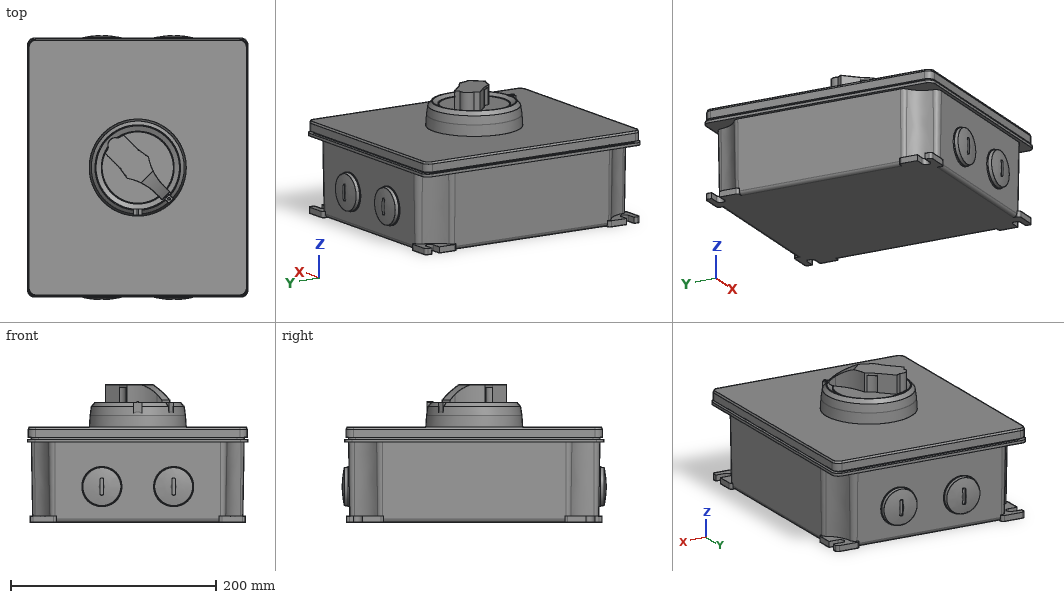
import cadquery as cq

foot_height = 6.2
body_top = 78.2
flange_top = 81.0
lid_bottom = 82.8
lid_top = 92.8
knob_band_z = 104.1
knob_shoulder_z = 113.0
knob_rim_z = 117.0
handle_top = 134.2

body_width = 204.7
body_depth = 242.2
wall_draft = -1.0
hollow_start_x = 85.5
hollow_start_y = 92.5
hollow_middle = (90.3, 103.5)
hollow_edge_radius = 5.1
bottom_edge_radius = 3.5

flange_width = 214.7
flange_depth = 252.5
neck_inset = 3.5
lid_width = 213.5
lid_depth = 250.0
corner_radius = 7.2
lid_edge_rise = 2.0
lid_edge_inset = 1.0

foot_outer_x = 105.0
foot_outer_y = 124.5
foot_inner_x = 79.2
foot_inner_y = 88.2
foot_corner_radius = 2.8
foot_slot_width = 8.7
foot_slot_y = 113.2
foot_slot_end_x = 95.0

overall_depth = 257.2
plug_x = 35.0
plug_z = 35.0
plug_radius = 19.5
plug_root_y = 118.3
plug_collar_y = 123.0
plug_neck_radius = 19.0
plug_dome_radius = 18.5
plug_dome_y = 126.5
plug_land_radius = 2.5
plug_slot_length = 17.0
plug_slot_width = 3.5
plug_slot_depth = 2.0

knob_base_radius = 47.3
knob_band_radius = 46.5
knob_shoulder_radius = 45.3
knob_rim_radius = 41.7
dish_top_radius = 40.6
dish_floor_radius = 35.5
rotor_radius = 34.7
rotor_groove_depth = 0.8
dish_depth = 2.5
dish_floor_z = knob_rim_z - dish_depth

marker_inner_radius = 40.0
marker_outer_radius = 46.0
marker_top = 117.0
front_marker_width = 8.2
front_ridge_width = 1.5
front_ridge_top = 117.8
pointer_marker_width = 6.2
pointer_hole_radius = 1.3
pointer_hole_depth = 2.5

pointing_angle = -45.0
handle_tail = -32.1
handle_tail_half_width = 12.5
handle_lobe_start = -33.7
handle_lobe_half_width = 7.0
handle_lobe_end = -38.0
grip_start = -12.3
grip_end = -1.8
grip_middle = (-6.7, 11.8)
grip_lip_z = 131.7
handle_waist_half_width = 14.7
handle_slope_start = 12.9
handle_neck_half_width = 8.2
handle_nose_start = 32.0
handle_tip = 38.8
handle_tip_half_width = 5.5
handle_tip_z = 119.0
handle_slope_middle = (26.7, 128.0)


def mirror_to_corners(quarter):
    """Repeat a one-corner solid in all four corners of the box."""
    half = quarter.union(quarter.mirror("YZ"))
    return half.union(half.mirror("XZ"))


def plate(width, depth, bottom, top):
    """Rounded rectangular plate between two heights."""
    return (
        cq.Workplane("XY", origin=(0, 0, bottom))
        .rect(width, depth)
        .extrude(top - bottom)
        .edges("|Z")
        .fillet(corner_radius)
    )


def make_body():
    """Drafted box with a shallow concave hollow down each corner."""
    half_x = body_width / 2
    half_y = body_depth / 2
    mid_x, mid_y = hollow_middle
    outline = (
        cq.Sketch()
        .segment((-hollow_start_x, -half_y), (hollow_start_x, -half_y))
        .arc((hollow_start_x, -half_y), (mid_x, -mid_y), (half_x, -hollow_start_y))
        .segment((half_x, -hollow_start_y), (half_x, hollow_start_y))
        .arc((half_x, hollow_start_y), (mid_x, mid_y), (hollow_start_x, half_y))
        .segment((hollow_start_x, half_y), (-hollow_start_x, half_y))
        .arc((-hollow_start_x, half_y), (-mid_x, mid_y), (-half_x, hollow_start_y))
        .segment((-half_x, hollow_start_y), (-half_x, -hollow_start_y))
        .arc((-half_x, -hollow_start_y), (-mid_x, -mid_y), (-hollow_start_x, -half_y))
        .assemble()
        .vertices()
        .fillet(hollow_edge_radius)
    )
    body = cq.Workplane("XY").placeSketch(outline).extrude(body_top, taper=wall_draft)
    return body.faces("<Z").edges().fillet(bottom_edge_radius)


def make_feet():
    """Corner feet, each with a screw slot open to the side."""
    size_x = foot_outer_x - foot_inner_x
    size_y = foot_outer_y - foot_inner_y
    foot = (
        cq.Workplane("XY", origin=(foot_inner_x, foot_inner_y, 0))
        .box(size_x, size_y, foot_height, centered=False)
        .edges("|Z")
        .edges(">X or >Y")
        .fillet(foot_corner_radius)
    )
    slot_length = 2 * (foot_outer_x - foot_slot_end_x)
    slot = (
        cq.Workplane("XY")
        .center(foot_outer_x, foot_slot_y)
        .slot2D(slot_length + foot_slot_width, foot_slot_width)
        .extrude(foot_height)
    )
    return mirror_to_corners(foot.cut(slot))


def make_cover():
    """Flange, seal neck and lid stacked on the body."""
    flange = plate(flange_width, flange_depth, body_top, flange_top)
    neck = plate(flange_width - 2 * neck_inset, flange_depth - 2 * neck_inset, flange_top, lid_bottom)
    lid = plate(lid_width, lid_depth, lid_bottom, lid_top)
    lid = lid.faces(">Z").edges().chamfer(lid_edge_rise, lid_edge_inset)
    return flange.union(neck).union(lid)


def make_plugs():
    """Domed blanking plugs with a screwdriver slot, two per end wall."""
    dome_y = overall_depth / 2
    dome_middle_radius = plug_dome_radius / 2
    dome_middle_y = dome_y - (dome_y - plug_dome_y) / 4
    plug = (
        cq.Workplane("XY")
        .moveTo(0, plug_root_y)
        .lineTo(plug_radius, plug_root_y)
        .lineTo(plug_radius, plug_collar_y)
        .lineTo(plug_neck_radius, plug_collar_y)
        .lineTo(plug_dome_radius, plug_dome_y)
        .threePointArc((dome_middle_radius, dome_middle_y), (plug_land_radius, dome_y))
        .lineTo(0, dome_y)
        .close()
        .revolve(360, (0, 0, 0), (0, 1, 0))
    )
    slot = (
        cq.Workplane("XZ", origin=(0, dome_y, 0))
        .slot2D(plug_slot_length, plug_slot_width, 90)
        .extrude(plug_slot_depth)
    )
    return mirror_to_corners(plug.cut(slot).translate((plug_x, 0, plug_z)))


def make_collar():
    """Turned collar around the handle, dished on top."""
    groove_z = dish_floor_z - rotor_groove_depth
    return (
        cq.Workplane("XZ")
        .moveTo(0, lid_top)
        .lineTo(knob_base_radius, lid_top)
        .lineTo(knob_band_radius, knob_band_z)
        .lineTo(knob_shoulder_radius, knob_shoulder_z)
        .lineTo(knob_rim_radius, knob_rim_z)
        .lineTo(dish_top_radius, knob_rim_z)
        .lineTo(dish_floor_radius, dish_floor_z)
        .lineTo(dish_floor_radius, groove_z)
        .lineTo(rotor_radius, groove_z)
        .lineTo(rotor_radius, dish_floor_z)
        .lineTo(0, dish_floor_z)
        .close()
        .revolve(360, (0, 0, 0), (0, 1, 0))
    )


def marker_block(width, top):
    """Upright block on the collar, on the +X side of the knob axis."""
    return (
        cq.Workplane("XY", origin=(marker_inner_radius, -width / 2, knob_band_z))
        .box(marker_outer_radius - marker_inner_radius, width, top - knob_band_z, centered=False)
    )


def turn_about_knob(solid, angle):
    return solid.rotate((0, 0, 0), (0, 0, 1), angle)


def make_markers():
    """Ridged front marker and drilled marker at the handle's point."""
    front = marker_block(front_marker_width, marker_top)
    ridge = marker_block(front_ridge_width, front_ridge_top)
    pointer = marker_block(pointer_marker_width, marker_top)
    pointer = (
        pointer.faces(">Z")
        .workplane(centerOption="CenterOfBoundBox")
        .hole(2 * pointer_hole_radius, pointer_hole_depth)
    )
    return turn_about_knob(front.union(ridge), -90).union(turn_about_knob(pointer, pointing_angle))


def make_handle():
    """Rotary handle with a lobed tail, finger recesses and a sloping nose."""
    blank = (
        cq.Workplane("XY", origin=(0, 0, dish_floor_z))
        .moveTo(handle_tail, handle_tail_half_width)
        .lineTo(grip_start, handle_tail_half_width)
        .lineTo(0, handle_waist_half_width)
        .threePointArc(
            (handle_slope_start, handle_neck_half_width), (handle_nose_start, handle_tip_half_width)
        )
        .lineTo(handle_tip, handle_tip_half_width)
        .lineTo(handle_tip, -handle_tip_half_width)
        .lineTo(handle_nose_start, -handle_tip_half_width)
        .threePointArc(
            (handle_slope_start, -handle_neck_half_width), (0, -handle_waist_half_width)
        )
        .lineTo(grip_start, -handle_tail_half_width)
        .lineTo(handle_tail, -handle_tail_half_width)
        .lineTo(handle_lobe_start, -handle_lobe_half_width)
        .threePointArc((handle_lobe_end, 0), (handle_lobe_start, handle_lobe_half_width))
        .close()
        .extrude(handle_top - dish_floor_z)
    )
    nose_cut = (
        cq.Workplane("XZ")
        .moveTo(handle_slope_start, handle_top)
        .threePointArc(handle_slope_middle, (handle_tip, handle_tip_z))
        .lineTo(handle_tip, handle_top)
        .close()
        .extrude(handle_waist_half_width, both=True)
    )
    handle = blank.cut(nose_cut)
    recess = (
        cq.Workplane("XY", origin=(0, 0, dish_floor_z))
        .moveTo(grip_start, handle_tail_half_width)
        .threePointArc(grip_middle, (grip_end, handle_waist_half_width))
        .lineTo(grip_start, handle_waist_half_width)
        .close()
        .extrude(grip_lip_z - dish_floor_z)
    )
    handle = handle.cut(recess).cut(recess.mirror("XZ"))
    return turn_about_knob(handle, pointing_angle)


result = (
    make_body()
    .union(make_feet())
    .union(make_cover())
    .union(make_plugs())
    .union(make_collar())
    .union(make_markers())
    .union(make_handle())
)